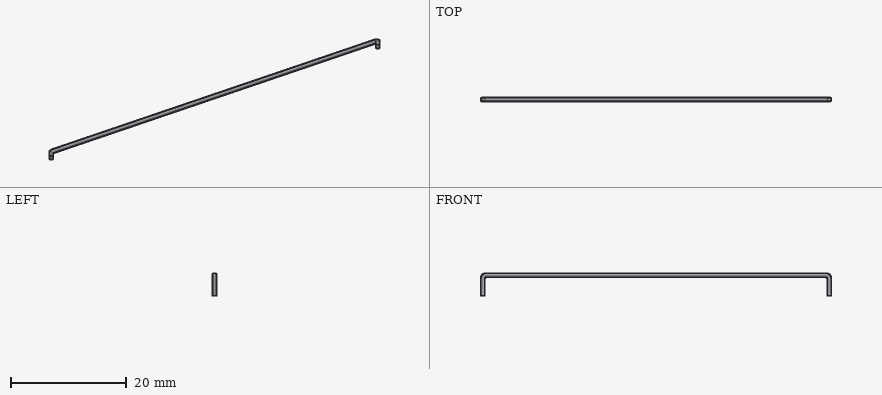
import cadquery as cq

wire_diameter = 0.75
leg_spacing = 60.0
leg_length = 3.0
bend_radius = 0.6

wire_radius = wire_diameter / 2
half_spacing = leg_spacing / 2
bend_start_x = half_spacing - bend_radius
bridge_height = leg_length + bend_radius


def round_bar(start, direction, length):
    """A straight stretch of wire from the point start."""
    return cq.Workplane("XY").add(
        cq.Solid.makeCylinder(wire_radius, length, cq.Vector(*start), cq.Vector(*direction))
    )


def leg(side):
    """Vertical leg at the left (side = -1) or right (side = 1) end."""
    return round_bar((side * half_spacing, 0, 0), (0, 0, 1), leg_length)


def bend(side):
    """Quarter-turn bend joining a leg to the bridge."""
    quarter_turn = 90
    return (
        cq.Workplane("XY", origin=(side * half_spacing, 0, leg_length))
        .circle(wire_radius)
        .revolve(quarter_turn, (-side * bend_radius, 0, 0), (-side * bend_radius, -side, 0))
    )


bridge = round_bar((-bend_start_x, 0, bridge_height), (1, 0, 0), 2 * bend_start_x)

result = bridge
for side in (-1, 1):
    result = result.union(bend(side)).union(leg(side))